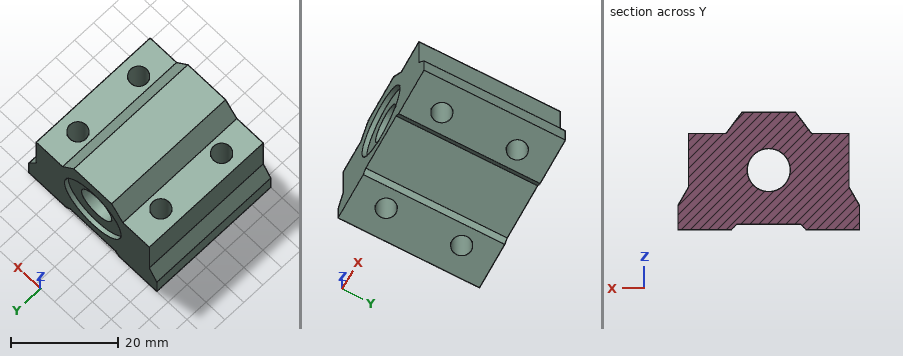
import cadquery as cq

length = 30.0
base_width = 34.0
body_width = 30.0
height = 22.0

flange_height = 4.5
flange_slope_top = 8.0
shoulder_height = 18.0

crown_top_width = 10.0
crown_base_width = 16.0

relief_depth = 1.0
relief_top_width = 12.0
relief_bottom_width = relief_top_width + 2 * relief_depth

bore_height = 11.15
bore_diameter = 8.0
seat_diameter = 15.0
seat_depth = 1.0

mount_diameter = 4.13
mount_spacing_x = 22.0
mount_spacing_y = 16.0


def make_block():
    """Extrude the symmetric end profile along Y, centred on the origin in Y."""
    right_side = [
        (relief_top_width / 2, relief_depth),
        (relief_bottom_width / 2, 0),
        (base_width / 2, 0),
        (base_width / 2, flange_height),
        (body_width / 2, flange_slope_top),
        (body_width / 2, shoulder_height),
        (crown_base_width / 2, shoulder_height),
        (crown_top_width / 2, height),
    ]
    left_side = [(-x, z) for x, z in reversed(right_side)]
    profile = cq.Workplane("XZ").polyline(right_side + left_side).close()
    return profile.extrude(length / 2, both=True)


def cylinder_along_y(diameter, y_start, depth):
    """Cylinder on the bore axis, running from y_start towards +Y."""
    axis_start = cq.Vector(0, y_start, bore_height)
    return cq.Solid.makeCylinder(diameter / 2, depth, axis_start, cq.Vector(0, 1, 0))


def cut_bore(block):
    """Cut the through bore and a shallow bearing seat in each end face."""
    block = block.cut(cylinder_along_y(bore_diameter, -length / 2, length))
    for seat_start in (-length / 2, length / 2 - seat_depth):
        block = block.cut(cylinder_along_y(seat_diameter, seat_start, seat_depth))
    return block


def cut_mount_holes(block):
    """Cut the four vertical mounting holes through the shoulders."""
    holes = (
        cq.Workplane("XY")
        .rarray(mount_spacing_x, mount_spacing_y, 2, 2)
        .circle(mount_diameter / 2)
        .extrude(height)
    )
    return block.cut(holes)


result = cut_mount_holes(cut_bore(make_block()))